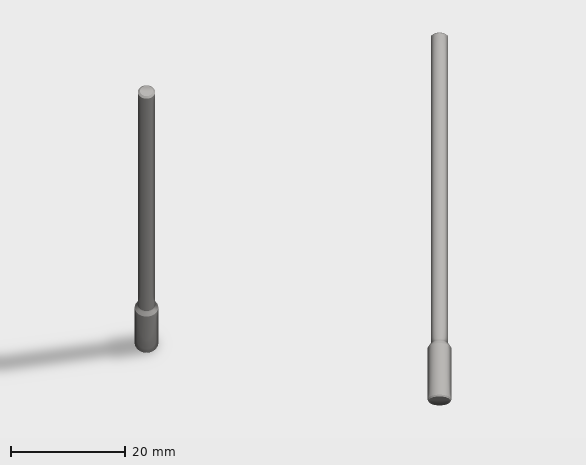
import cadquery as cq

total_length = 70.0
rod_diameter = 3.0
sleeve_diameter = 4.1

tip_chamfer_height = 0.3
tip_chamfer_width = 0.35

sleeve_length = 11.0
shoulder_height = 0.85
foot_chamfer_height = 0.3
foot_chamfer_width = 0.15

rod_radius = rod_diameter / 2
sleeve_radius = sleeve_diameter / 2


def make_rod():
    """Full-length round rod with a chamfered upper tip."""
    profile = [
        (0, 0),
        (rod_radius, 0),
        (rod_radius, total_length - tip_chamfer_height),
        (rod_radius - tip_chamfer_width, total_length),
        (0, total_length),
    ]
    return cq.Workplane("XZ").polyline(profile).close().revolve(360, (0, 0), (0, 1))


def make_sleeve():
    """Sleeve around the lower end of the rod, flush with it at the bottom."""
    profile = [
        (rod_radius, 0),
        (sleeve_radius - foot_chamfer_width, 0),
        (sleeve_radius, foot_chamfer_height),
        (sleeve_radius, sleeve_length - shoulder_height),
        (rod_radius, sleeve_length),
    ]
    return cq.Workplane("XZ").polyline(profile).close().revolve(360, (0, 0), (0, 1))


rod = make_rod()
sleeve = make_sleeve()

result = cq.Compound.makeCompound([rod.val(), sleeve.val()])